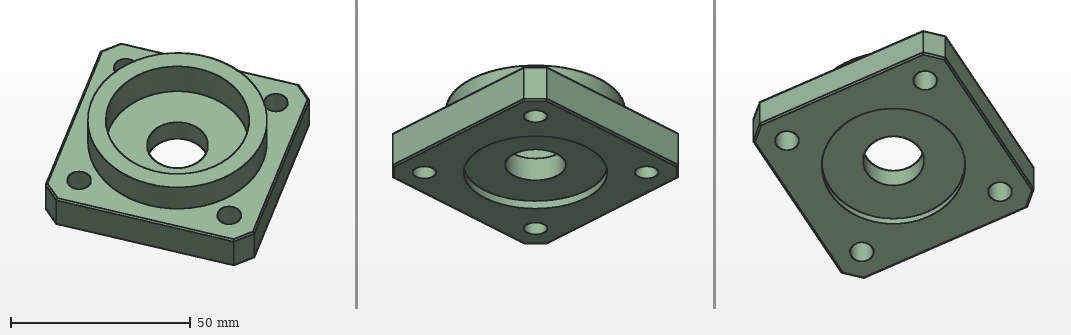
import cadquery as cq

flange_side = 61.0
flange_height = 11.0
corner_cut = 4.6
edge_chamfer = 0.5

hole_diameter = 6.6
hole_pitch = 43.85

total_height = 20.0
boss_diameter = 50.0
boss_height = total_height - flange_height
housing_bore = 40.0

bearing_bore = 17.0
bearing_width = 7.0
bearing_depth = 10.55
bearing_top = total_height - bearing_depth
bearing_bottom = bearing_top - bearing_width


def make_flange():
    """Square block with cut corners and chamfered top and bottom edges."""
    return (
        cq.Workplane("XY")
        .rect(flange_side, flange_side)
        .extrude(flange_height)
        .edges("|Z")
        .chamfer(corner_cut)
        .faces("<Z or >Z")
        .edges()
        .chamfer(edge_chamfer)
    )


def make_housing():
    """Flange and boss in one piece, with the through bore and mounting holes."""
    boss = (
        cq.Workplane("XY", origin=(0, 0, flange_height))
        .circle(boss_diameter / 2)
        .extrude(boss_height)
    )
    bore = cq.Workplane("XY").circle(housing_bore / 2).extrude(total_height)
    holes = (
        cq.Workplane("XY")
        .rect(hole_pitch, hole_pitch, forConstruction=True)
        .vertices()
        .circle(hole_diameter / 2)
        .extrude(flange_height)
    )
    return make_flange().union(boss).cut(bore).cut(holes)


def make_bearing():
    """Plain ring that fills the housing bore over the bearing width."""
    return (
        cq.Workplane("XY", origin=(0, 0, bearing_bottom))
        .circle(housing_bore / 2)
        .circle(bearing_bore / 2)
        .extrude(bearing_width)
    )


housing = make_housing()
bearing = make_bearing()
result = cq.Compound.makeCompound([housing.val(), bearing.val()])